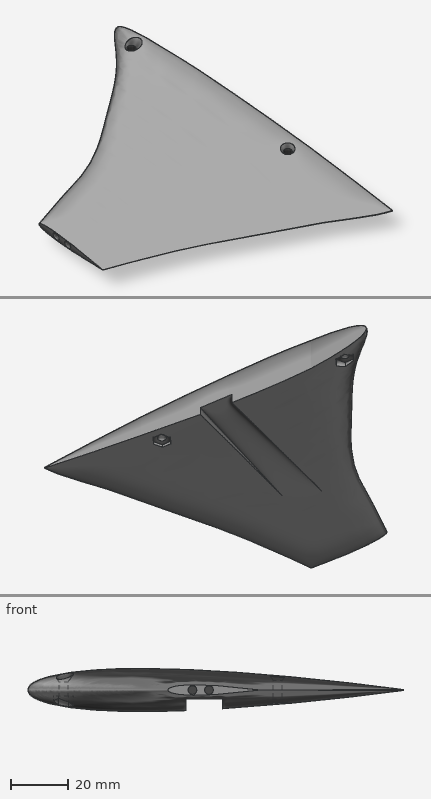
import cadquery as cq
import math

PROFILE_STEPS = 14

ROOT_OUTLINE = [(0, 86.6), (23.0, 86.8), (56.5, 88.5), (91.9, 90.6), (131.3, 92.4)]
ROOT_NOSE = ROOT_OUTLINE[0]
ROOT_TAIL = ROOT_OUTLINE[-1]
ROOT_THICKNESS = 15.2
THICKNESS_RATIO = ROOT_THICKNESS / (ROOT_TAIL[0] - ROOT_NOSE[0])

STATIONS = [
    ((49.0, 0), (80.7, 0)),
    ((46.9, 8.8), (84.5, 8.8)),
    ((44.8, 17.6), (88.6, 17.6)),
    ((42.7, 27.0), (93.2, 27.0)),
    ((34.7, 44.1), (102.8, 44.1)),
    ((23.1, 60.9), (112.5, 60.9)),
    ((11.3, 75.4), (121.2, 75.4)),
    (ROOT_NOSE, ROOT_TAIL),
]

SLOT_X = (55.3, 68.0)
SLOT_CEILING_Z = -3.2

PIN_DIAMETER = 3.0
PIN_DEPTH = 19.7
PIN_X = (57.5, 63.3)

SCREW_DIAMETER = 3.2
SCREWS = [(12.5, 81.5, 2.9, -2.1), (87.3, 84.4, 3.4, -3.2)]
SINK_SLOPE = 0.75
NUT_WIDTH = 6.0
CUT_HEIGHT = 13.1


def half_thickness(u):
    """Half thickness of the four-digit symmetric profile at chord fraction u, for unit chord."""
    shape = 0.2969 * math.sqrt(u) - 0.126 * u - 0.3516 * u**2 + 0.2843 * u**3 - 0.1015 * u**4
    return 5 * THICKNESS_RATIO * shape


def section(leading, trailing):
    """Closed profile wire from leading to trailing edge, with a thin blunt trailing edge."""
    leading_x, leading_y = leading
    sweep_x = trailing[0] - leading_x
    sweep_y = trailing[1] - leading_y
    points = []
    for step in range(-PROFILE_STEPS, PROFILE_STEPS + 1):
        u = (step / PROFILE_STEPS) ** 2
        z = math.copysign(half_thickness(u) * sweep_x, step)
        points.append(cq.Vector(leading_x + u * sweep_x, leading_y + u * sweep_y, z))
    surface = cq.Edge.makeSpline(points)
    blunt_edge = cq.Edge.makeLine(points[-1], points[0])
    return cq.Wire.assembleEdges([surface, blunt_edge])


def wing():
    profiles = [section(leading, trailing) for leading, trailing in STATIONS]
    return cq.Workplane(obj=cq.Solid.makeLoft(profiles))


def beyond_root():
    """Block that covers everything between the root outline and the straight root chord."""
    return (
        cq.Workplane("XY", origin=(0, 0, -CUT_HEIGHT))
        .polyline(ROOT_OUTLINE)
        .lineTo(ROOT_NOSE[0], ROOT_TAIL[1])
        .close()
        .extrude(2 * CUT_HEIGHT)
    )


def slot():
    start, end = SLOT_X
    width = end - start
    block = cq.Workplane("XY").box(width, ROOT_TAIL[1], CUT_HEIGHT, centered=False)
    return block.translate((start, 0, SLOT_CEILING_Z - CUT_HEIGHT))


def pin_hole(x):
    return cq.Workplane("XZ", origin=(x, 0, 0)).circle(PIN_DIAMETER / 2).extrude(-PIN_DEPTH)


def screw_hole(x, y, sink_z, nut_z):
    radius = SCREW_DIAMETER / 2
    shaft = cq.Workplane("XY").circle(radius).extrude(CUT_HEIGHT, both=True)
    cone = cq.Solid.makeCone(radius, radius + SINK_SLOPE * CUT_HEIGHT, CUT_HEIGHT)
    sink = cq.Workplane(obj=cone).translate((0, 0, sink_z))
    corner_width = NUT_WIDTH / math.cos(math.pi / 6)
    nut = cq.Workplane("XY", origin=(0, 0, nut_z)).polygon(6, corner_width).extrude(-CUT_HEIGHT)
    return shaft.union(sink).union(nut).translate((x, y, 0))


result = wing().cut(beyond_root()).cut(slot())
for pin_x in PIN_X:
    result = result.cut(pin_hole(pin_x))
for screw in SCREWS:
    result = result.cut(screw_hole(*screw))